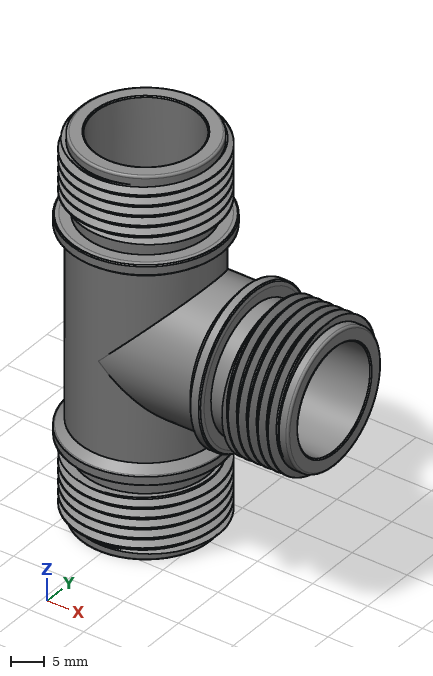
import cadquery as cq
import math

ARM_LENGTH = 34.35
ARM_TURNS = (0, 90, 180)

BODY_DIAMETER = 24.12
COLLAR_DIAMETER = 27.5
COLLAR_FLAT_DIAMETER = 25.8
NECK_DIAMETER = 22.2
THREAD_ROOT_DIAMETER = 23.6
THREAD_CREST_DIAMETER = 26.0

THREAD_START = 1.6
THREAD_END = 11.5
COLLAR_FACE = 14.5
COLLAR_RIM = 14.65
COLLAR_BACK = 16.5
BODY_START = 17.6

END_ROUNDING = 0.4
COLLAR_CHAMFER = 0.2
MOUTH_CHAMFER = 0.2

BORE_OUTER_DIAMETER = 18.4
BORE_CENTRE_DIAMETER = 18.1

PITCH = 25.4 / 14
FLANK_HALF_ANGLE = 27.5
CREST_WIDTH = 0.2
ROOT_OVERLAP = 0.2
FIRST_CREST_DEPTH = 1.45


def revolve_outline(outline):
    """Close an XZ outline and revolve it about the Z axis."""
    return outline.close().revolve(360, (0, 0, 0), (0, 1, 0))


def make_arm_blank():
    """Solid outside shape of one arm, without its thread."""
    body_radius = BODY_DIAMETER / 2
    collar_radius = COLLAR_DIAMETER / 2
    neck_radius = NECK_DIAMETER / 2
    root_radius = THREAD_ROOT_DIAMETER / 2
    collar_face = ARM_LENGTH - COLLAR_FACE
    collar_rim = ARM_LENGTH - COLLAR_RIM
    collar_back = ARM_LENGTH - COLLAR_BACK
    thread_end = ARM_LENGTH - THREAD_END
    outline = (
        cq.Workplane("XZ")
        .lineTo(body_radius, 0)
        .lineTo(body_radius, ARM_LENGTH - BODY_START)
        .lineTo(collar_radius - COLLAR_CHAMFER, collar_back)
        .lineTo(collar_radius, collar_back + COLLAR_CHAMFER)
        .lineTo(collar_radius, collar_rim - COLLAR_CHAMFER)
        .lineTo(collar_radius - COLLAR_CHAMFER, collar_rim)
        .lineTo(COLLAR_FLAT_DIAMETER / 2, collar_face)
        .lineTo(neck_radius, collar_face)
        .lineTo(neck_radius, thread_end)
        .lineTo(root_radius, thread_end)
        .lineTo(root_radius, ARM_LENGTH - END_ROUNDING)
        .radiusArc((root_radius - END_ROUNDING, ARM_LENGTH), -END_ROUNDING)
        .lineTo(0, ARM_LENGTH)
    )
    return revolve_outline(outline)


def make_thread():
    """Helical ridge of one arm, cut off square at both ends of the threaded length."""
    crest_radius = THREAD_CREST_DIAMETER / 2
    base_radius = THREAD_ROOT_DIAMETER / 2 - ROOT_OVERLAP
    crest_half = CREST_WIDTH / 2
    base_half = crest_half + (crest_radius - base_radius) * math.tan(math.radians(FLANK_HALF_ANGLE))

    turns = math.ceil((THREAD_END - THREAD_START) / PITCH) + 1
    helix_top = ARM_LENGTH - FIRST_CREST_DEPTH + PITCH / 2
    helix_bottom = helix_top - turns * PITCH
    helix = cq.Wire.makeHelix(PITCH, turns * PITCH, base_radius).translate(cq.Vector(0, 0, helix_bottom))

    ridge = (
        cq.Workplane("XZ")
        .polyline([
            (base_radius, helix_bottom - base_half),
            (crest_radius, helix_bottom - crest_half),
            (crest_radius, helix_bottom + crest_half),
            (base_radius, helix_bottom + base_half),
        ])
        .close()
        .sweep(cq.Workplane(obj=helix), isFrenet=True)
    )
    threaded_length = (
        cq.Workplane("XY", origin=(0, 0, ARM_LENGTH - THREAD_END))
        .circle(COLLAR_DIAMETER / 2)
        .extrude(THREAD_END - THREAD_START)
    )
    return ridge.intersect(threaded_length)


def make_bore():
    """Tapered bore of one arm with its chamfered mouth."""
    outer_radius = BORE_OUTER_DIAMETER / 2
    outline = (
        cq.Workplane("XZ")
        .lineTo(BORE_CENTRE_DIAMETER / 2, 0)
        .lineTo(outer_radius, ARM_LENGTH - MOUTH_CHAMFER)
        .lineTo(outer_radius + MOUTH_CHAMFER, ARM_LENGTH)
        .lineTo(0, ARM_LENGTH)
    )
    return revolve_outline(outline)


def turn_into_place(shape, angle):
    """Turn an upright arm shape about Y by the given angle in degrees."""
    return shape.rotate((0, 0, 0), (0, 1, 0), angle)


arm = make_arm_blank().union(make_thread())
bore = make_bore()

tee = turn_into_place(arm, ARM_TURNS[0])
for turn in ARM_TURNS[1:]:
    tee = tee.union(turn_into_place(arm, turn))
for turn in ARM_TURNS:
    tee = tee.cut(turn_into_place(bore, turn))

result = cq.Workplane(obj=tee.solids().val())